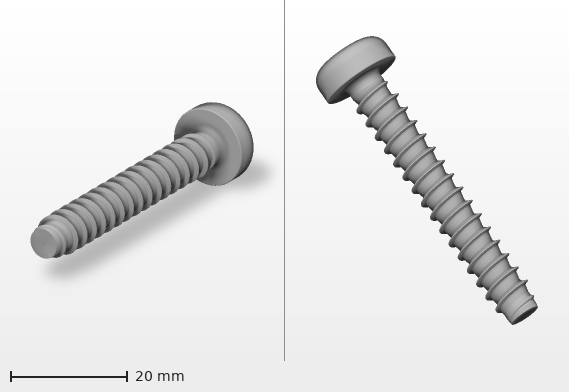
import cadquery as cq
import math


head_radius = 7.05
head_height = 5.59
dome_radius = 2.75
bearing_edge_radius = 0.2

shank_length = 50.0
neck_radius = 3.2
neck_fillet_radius = 1.0
neck_length = 2.0
neck_taper = math.radians(14.8)
core_radius = 2.85
tip_radius = 2.72
tip_taper = math.radians(9.5)
tip_hollow_angle = math.radians(5.5)
tip_hollow_depth = tip_radius * math.tan(tip_hollow_angle)

pitch = 2.83
crest_radius = 3.88
crest_half_width = 0.09
tip_flank_foot_radius = 3.12
tip_flank_foot = 0.38
core_taper = math.radians(12)
head_flank_break_radius = 3.2
head_flank_break = 0.41
head_flank_foot = 0.69
sink_radius = 2.6
root_sink_radius = 2.79
run_in_crest_radius = 3.15
run_out_crest_radius = 2.86
run_in_turns = 1.0
full_turns = 14.75
run_out_turns = 1.25
run_in_start = 1.27
run_in_angle = 180.0


def turned_body():
    """Head, neck, core and hollow tip as one turned solid."""
    dome_flat_radius = head_radius - dome_radius
    dome_mid = dome_radius * math.sqrt(0.5)
    edge_mid = bearing_edge_radius * (1 - math.sqrt(0.5))
    fillet_mid = neck_fillet_radius * (1 - math.sqrt(0.5))
    core_start = neck_length + (neck_radius - core_radius) / math.tan(neck_taper)
    tip_start = shank_length - (core_radius - tip_radius) / math.tan(tip_taper)
    return (
        cq.Workplane(cq.Plane((0, 0, 0), (1, 0, 0), (0, -1, 0)))
        .moveTo(0, -head_height)
        .lineTo(dome_flat_radius, -head_height)
        .threePointArc(
            (dome_flat_radius + dome_mid, dome_radius - head_height - dome_mid),
            (head_radius, dome_radius - head_height),
        )
        .lineTo(head_radius, -bearing_edge_radius)
        .threePointArc((head_radius - edge_mid, -edge_mid), (head_radius - bearing_edge_radius, 0))
        .lineTo(neck_radius + neck_fillet_radius, 0)
        .threePointArc(
            (neck_radius + fillet_mid, fillet_mid),
            (neck_radius, neck_fillet_radius),
        )
        .lineTo(neck_radius, neck_length)
        .lineTo(core_radius, core_start)
        .lineTo(core_radius, tip_start)
        .lineTo(tip_radius, shank_length)
        .lineTo(0, shank_length - tip_hollow_depth)
        .close()
        .revolve(360, (0, 0, 0), (0, 1, 0))
    )


def ridge_profile():
    """Corners (radius, distance from crest centre) of the full thread ridge."""
    foot_slope = (head_flank_foot - head_flank_break) / (head_flank_break_radius - core_radius)
    sunk_flank = head_flank_foot + (core_radius - sink_radius) * foot_slope
    root_end = tip_flank_foot + (tip_flank_foot_radius - root_sink_radius) / math.tan(core_taper)
    return [
        (sink_radius, -sunk_flank),
        (head_flank_break_radius, -head_flank_break),
        (crest_radius, -crest_half_width),
        (crest_radius, crest_half_width),
        (tip_flank_foot_radius, tip_flank_foot),
        (root_sink_radius, root_end),
        (sink_radius, root_end),
    ]


def scaled_radius(radius, section_crest_radius):
    """Radius of a ridge corner where the ridge is only as high as section_crest_radius."""
    share = (section_crest_radius - sink_radius) / (crest_radius - sink_radius)
    return sink_radius + (radius - sink_radius) * share


def helix(start_radius, end_radius, start, turns, start_angle):
    """Helical edge whose radius changes evenly from start_radius to end_radius."""
    length = turns * pitch
    if start_radius == end_radius:
        wire = cq.Wire.makeHelix(pitch, length, start_radius)
    else:
        slope = math.atan((end_radius - start_radius) / length)
        stretch = 1 / math.cos(slope)
        wire = cq.Wire.makeHelix(
            pitch * stretch, length * stretch, start_radius, angle=math.degrees(slope)
        )
    turned = wire.rotate(cq.Vector(0, 0, 0), cq.Vector(0, 0, 1), start_angle)
    return turned.translate(cq.Vector(0, 0, start)).Edges()[0]


def cap(section_crest_radius, position, angle):
    """Flat face that closes the ridge at one end."""
    corners = [
        cq.Vector(scaled_radius(radius, section_crest_radius), 0, position + offset)
        for radius, offset in ridge_profile()
    ]
    face = cq.Face.makeFromWires(cq.Wire.makePolygon(corners, close=True))
    return face.rotate(cq.Vector(0, 0, 0), cq.Vector(0, 0, 1), angle)


def thread_ridge():
    """Right-handed thread that rises out of the neck and fades out at the tip."""
    sections = [
        (run_in_turns, run_in_crest_radius, crest_radius),
        (full_turns, crest_radius, crest_radius),
        (run_out_turns, crest_radius, run_out_crest_radius),
    ]
    position = run_in_start
    angle = run_in_angle
    faces = [cap(run_in_crest_radius, position, angle)]
    for turns, start_crest, end_crest in sections:
        edges = [
            helix(
                scaled_radius(radius, start_crest),
                scaled_radius(radius, end_crest),
                position + offset,
                turns,
                angle,
            )
            for radius, offset in ridge_profile()
        ]
        for edge, next_edge in zip(edges, edges[1:] + edges[:1]):
            faces.append(cq.Face.makeRuledSurface(edge, next_edge))
        position += turns * pitch
        angle += turns * 360
    faces.append(cap(run_out_crest_radius, position, angle))
    ridge = cq.Workplane(obj=cq.Solid.makeSolid(cq.Shell.makeShell(faces)))
    beyond_tip = (
        cq.Workplane(origin=(0, 0, shank_length - tip_hollow_depth))
        .circle(crest_radius)
        .extrude(pitch)
    )
    return ridge.cut(beyond_tip)


screw = turned_body().union(thread_ridge())
result = screw.rotate((0, 0, 0), (1, 0, 0), 90).solids()